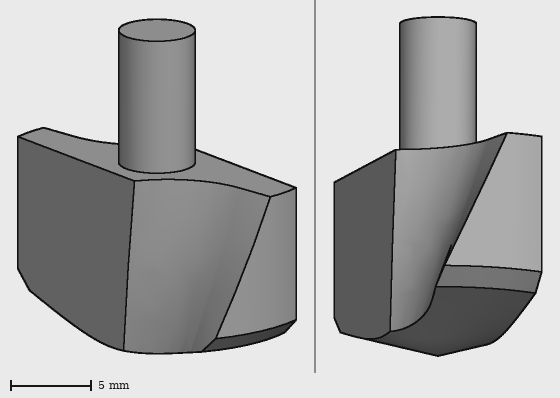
import cadquery as cq
import math

overall_height = 21.1
body_top = 12.5
shank_diameter = 4.8

cutting_radius = 10.32
blade_thickness = 7.17
cone_rim_height = 2.75
corner_chamfer = 1.14

flute_seam = (7.55, 0.74)
flute_wall_angle = 8.0
flute_arc_radius = 6.33
twist_per_height = 2.621
cutter_reach = 13.72


def make_blade():
    """Chamfered cylinder with a conical tip, trimmed to a flat blade."""
    rim_radius = cutting_radius - corner_chamfer
    turned = (
        cq.Workplane("XZ")
        .moveTo(0, 0)
        .lineTo(rim_radius, cone_rim_height)
        .lineTo(cutting_radius, cone_rim_height + corner_chamfer)
        .lineTo(cutting_radius, body_top)
        .lineTo(0, body_top)
        .close()
        .revolve(360, (0, 0, 0), (0, 1, 0))
    )
    slab = cq.Workplane("XY").box(
        2 * cutting_radius, blade_thickness, body_top, centered=(True, True, False)
    )
    return turned.intersect(slab)


def make_flute_cutter():
    """Flute section swept along the body height with a steady twist."""
    seam_x, seam_y = flute_seam
    wall_angle = math.radians(flute_wall_angle)
    wall_slope = math.tan(wall_angle)
    wall_end_y = seam_y + (cutter_reach - seam_x) * wall_slope
    arc_start_x = seam_x + flute_arc_radius * math.sin(wall_angle) - flute_arc_radius
    arc_start_y = seam_y - flute_arc_radius * math.cos(wall_angle)
    total_twist = twist_per_height * body_top
    return (
        cq.Workplane("XY")
        .transformed(rotate=(0, 0, -total_twist))
        .moveTo(arc_start_x, arc_start_y)
        .radiusArc(flute_seam, flute_arc_radius)
        .lineTo(cutter_reach, wall_end_y)
        .lineTo(cutter_reach, -cutter_reach)
        .lineTo(arc_start_x, -cutter_reach)
        .close()
        .twistExtrude(body_top, total_twist)
    )


result = make_blade()

flute_cutter = make_flute_cutter()
for angle in (0, 180):
    result = result.cut(flute_cutter.rotate((0, 0, 0), (0, 0, 1), angle))

shank = (
    cq.Workplane("XY")
    .workplane(offset=body_top)
    .circle(shank_diameter / 2)
    .extrude(overall_height - body_top)
)
result = result.union(shank)